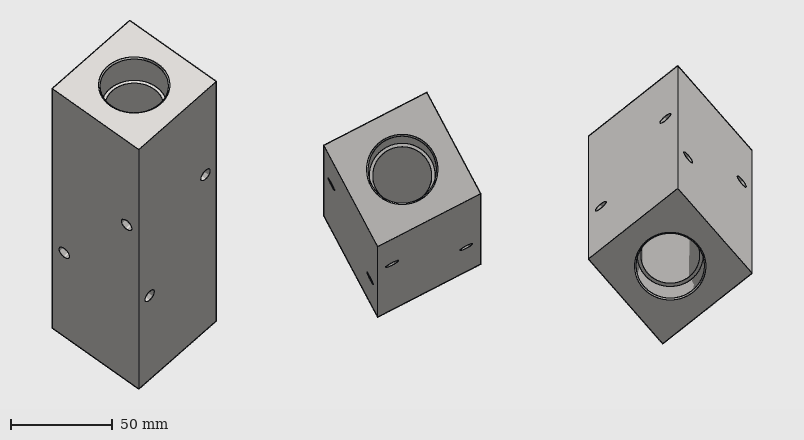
import cadquery as cq

width = 57.2
length = 190.5

bore_diameter = 29.0
socket_top_diameter = 33.5
socket_bottom_diameter = 32.4
socket_depth = 17.0
mouth_diameter = 35.0
mouth_chamfer_depth = 0.8

cross_diameter = 6.9
cross_offset = 20.5
cross_height = 28.5

block = cq.Workplane("XY").box(width, width, length)


def stepped_bore():
    """Through bore with a chamfered, slightly tapered socket at each end."""
    bore = cq.Workplane("XY").circle(bore_diameter / 2).extrude(length / 2, both=True)
    for end in (1, -1):
        half_profile = [
            (0, end * length / 2),
            (mouth_diameter / 2, end * length / 2),
            (socket_top_diameter / 2, end * (length / 2 - mouth_chamfer_depth)),
            (socket_bottom_diameter / 2, end * (length / 2 - socket_depth)),
            (0, end * (length / 2 - socket_depth)),
        ]
        socket = cq.Workplane("XZ").polyline(half_profile).close().revolve(360, (0, 0, 0), (0, 1, 0))
        bore = bore.union(socket)
    return bore


def cross_holes(plane):
    """Two diagonally opposite holes running right through the block."""
    centers = [(cross_offset, cross_height), (-cross_offset, -cross_height)]
    return cq.Workplane(plane).pushPoints(centers).circle(cross_diameter / 2).extrude(width, both=True)


result = block.cut(stepped_bore()).cut(cross_holes("XZ")).cut(cross_holes("YZ"))